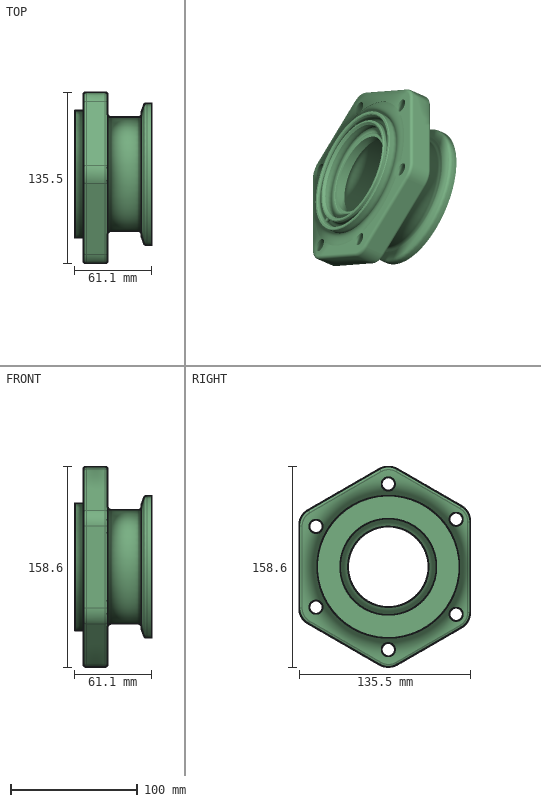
import cadquery as cq
import math


flange_front = 6.9
flange_back = 26.2
flange_apothem = 70.6
flange_short_side = 64.9
flange_slope_angle = 30
flange_corner_radius = 14.29
flange_edge_radius = 2.3
flange_recess_diameter = 122.0
flange_recess_depth = 0.3

bolt_diameter = 10.31
bolt_circle_radius = 65.5
bolt_angle_minus_y = 29.2
bolt_angle_plus_y = 35.0

spigot_diameter = 100.84
spigot_edge = 0.5
neck_diameter = 90.49
neck_flange_radius = 2.4
neck_rim_radius = 1.8
rim_front = 52.65
rim_back = 61.09
rim_diameter = 112.52
rim_cone_diameter = 97.6
rim_cone_angle = 20
rim_edge_radius = 2.4

bore_diameter = 63.5
rear_bore_diameter = 76.2
rear_bore_start = 14.9
seat_diameter = 70.0
seat_floor_diameter = 69.0
seat_depth = 0.25
counterbore_diameter = 78.92
counterbore_floor = 7.6

groove_outer_diameter = 95.0
groove_inner_diameter = 85.8
groove_edge = 0.7
groove_edge_depth = 0.6
groove_floor_outer_diameter = 92.5
groove_round_start = 5.2
groove_floor = 6.8
lip_cone_diameter = 82.0
lip_cone_depth = 1.8

rib_diameter = 3.4
rib_count = 3
rib_center = 4.2

selection_margin = 0.1


def revolve_x(profile):
    """Revolve a closed profile of (x, radius) drawn in the XY plane about the X axis."""
    return profile.close().revolve(360, (0, 0, 0), (1, 0, 0))


def ring_at(x, radius):
    """Select the circular edges at one X that lie within a radius of the bore axis."""
    reach = radius + selection_margin
    return cq.selectors.BoxSelector(
        (x - selection_margin, -reach, -reach), (x + selection_margin, reach, reach), True
    )


def make_flange():
    slope = math.radians(flange_slope_angle)
    corner_radius = flange_apothem / math.cos(slope)
    short_side_half = corner_radius - flange_short_side * math.tan(slope)
    outline = [
        (0, corner_radius),
        (-flange_apothem, corner_radius / 2),
        (-flange_apothem, -corner_radius / 2),
        (0, -corner_radius),
        (flange_short_side, -short_side_half),
        (flange_short_side, short_side_half),
    ]
    plate = (
        cq.Workplane("YZ", origin=(flange_front, 0, 0))
        .polyline(outline)
        .close()
        .extrude(flange_back - flange_front)
        .edges("|X")
        .fillet(flange_corner_radius)
    )
    return plate.faces("<X or >X").edges().fillet(flange_edge_radius)


def make_round_body():
    inside_flange = (flange_front + flange_back) / 2
    cone_length = (rim_diameter - rim_cone_diameter) / 2 * math.tan(math.radians(rim_cone_angle))
    body = revolve_x(
        cq.Workplane("XY")
        .moveTo(0, 0)
        .lineTo(0, spigot_diameter / 2 - spigot_edge)
        .lineTo(spigot_edge, spigot_diameter / 2)
        .lineTo(inside_flange, spigot_diameter / 2)
        .lineTo(inside_flange, neck_diameter / 2)
        .lineTo(rim_front, neck_diameter / 2)
        .lineTo(rim_front, rim_cone_diameter / 2)
        .lineTo(rim_front + cone_length, rim_diameter / 2)
        .lineTo(rim_back, rim_diameter / 2)
        .lineTo(rim_back, 0)
    )
    return body.edges(ring_at(rim_front + cone_length, rim_diameter / 2)).fillet(rim_edge_radius)


def fillet_neck(part):
    neck_radius = neck_diameter / 2
    part = part.edges(ring_at(flange_back, neck_radius)).fillet(neck_flange_radius)
    return part.edges(ring_at(rim_front, neck_radius)).fillet(neck_rim_radius)


def make_flange_recess():
    return (
        cq.Workplane("YZ", origin=(flange_front, 0, 0))
        .circle(flange_recess_diameter / 2)
        .circle(spigot_diameter / 2)
        .extrude(flange_recess_depth)
    )


def make_bore():
    return revolve_x(
        cq.Workplane("XY")
        .moveTo(0, 0)
        .lineTo(0, lip_cone_diameter / 2)
        .lineTo(lip_cone_depth, counterbore_diameter / 2)
        .lineTo(counterbore_floor, counterbore_diameter / 2)
        .lineTo(counterbore_floor, seat_diameter / 2)
        .lineTo(counterbore_floor + seat_depth, seat_floor_diameter / 2)
        .lineTo(counterbore_floor + seat_depth, bore_diameter / 2)
        .lineTo(rear_bore_start, bore_diameter / 2)
        .lineTo(rear_bore_start, rear_bore_diameter / 2)
        .lineTo(rim_back, rear_bore_diameter / 2)
        .lineTo(rim_back, 0)
    )


def make_groove():
    outer = groove_outer_diameter / 2
    inner = groove_inner_diameter / 2
    floor_outer = groove_floor_outer_diameter / 2
    return revolve_x(
        cq.Workplane("XY")
        .moveTo(0, inner - groove_edge)
        .lineTo(groove_edge_depth, inner)
        .lineTo(groove_round_start, inner)
        .threePointArc((groove_floor, (inner + floor_outer) / 2), (groove_round_start, floor_outer))
        .lineTo(groove_edge_depth, outer)
        .lineTo(0, outer + groove_edge)
    )


def make_ribs():
    inner = groove_inner_diameter / 2 - groove_edge
    outer = groove_outer_diameter / 2 + groove_edge
    rib = (
        cq.Workplane("XY", origin=(rib_center, 0, inner))
        .circle(rib_diameter / 2)
        .extrude(outer - inner)
    )
    return [rib.rotate((0, 0, 0), (1, 0, 0), i * 360 / rib_count) for i in range(rib_count)]


def make_bolt_holes():
    angles = [90, -90]
    for side in (1, -1):
        angles += [side * bolt_angle_plus_y, side * (180 - bolt_angle_minus_y)]
    centers = [
        (bolt_circle_radius * math.cos(math.radians(a)), bolt_circle_radius * math.sin(math.radians(a)))
        for a in angles
    ]
    return (
        cq.Workplane("YZ", origin=(flange_front, 0, 0))
        .pushPoints(centers)
        .circle(bolt_diameter / 2)
        .extrude(flange_back - flange_front)
    )


result = fillet_neck(make_flange().union(make_round_body()))
result = result.cut(make_flange_recess()).cut(make_bore()).cut(make_groove()).cut(make_bolt_holes())
for rib in make_ribs():
    result = result.union(rib)